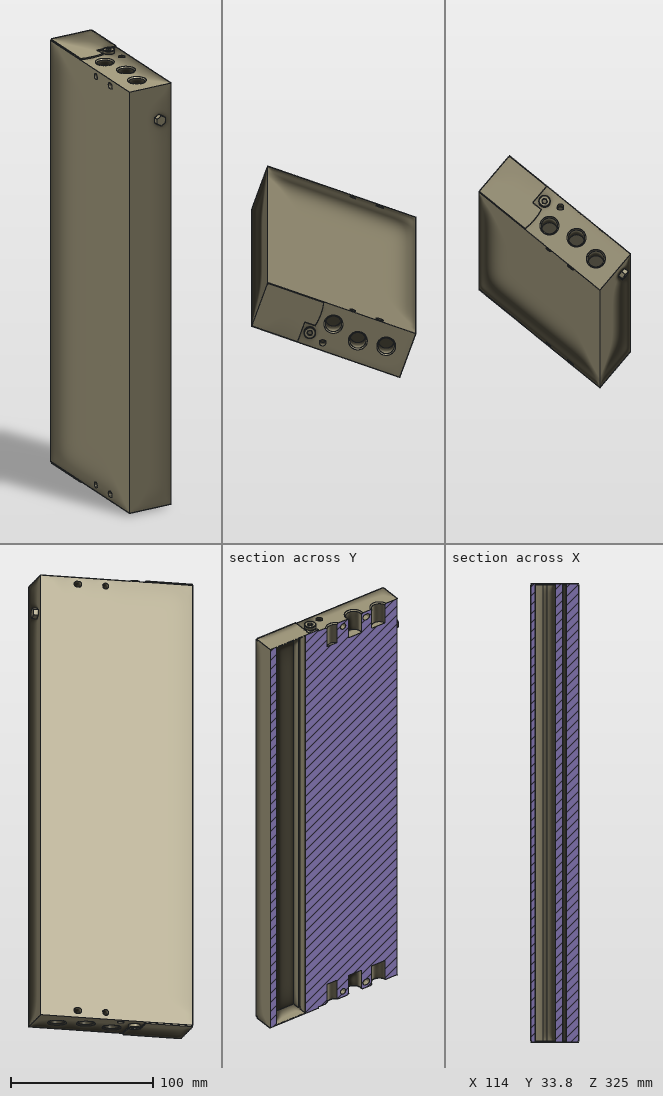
import cadquery as cq

HOUSING_LENGTH = 110.5
HOUSING_DEPTH = 33.8
HOUSING_HEIGHT = 320.0
TOP = HOUSING_HEIGHT / 2

COVER_THICKNESS = 1.0
COVER_MARGIN = 0.3
COVER_CORNER_RADIUS = 1.3
COVER_BACK_LENGTH = 34.0
COVER_FRONT_LENGTH = 42.0
COVER_STEP_Y = 1.3
COVER_BULGE = 1.0

CHANNEL_LEFT = 6.0
CHANNEL_BACK_RIGHT = 30.2
CHANNEL_FRONT_RIGHT = 40.0
CHANNEL_HALF_DEPTH = 13.5
CHANNEL_STEP_Y = -0.5
CHANNEL_CORNER_RADIUS = 2.0

GROOVE_DIAMETER = 2.5
GROOVE_Y = 6.8
GROOVE_OFFSET = 0.5
GROOVE_CENTRES = [
    (CHANNEL_LEFT, GROOVE_Y),
    (CHANNEL_LEFT, -GROOVE_Y),
    (CHANNEL_FRONT_RIGHT, -GROOVE_Y),
    (CHANNEL_BACK_RIGHT + GROOVE_OFFSET, GROOVE_Y),
]

PORT_CENTRES = [(53.5, -4.0), (73.8, 1.5), (94.0, -1.3)]
PORT_DIAMETER = 11.5
PORT_CHAMFER = 1.0
PORT_DEPTH = 16.2
SMALL_PORT_CENTRE = (51.0, 11.5)
SMALL_PORT_DIAMETER = 4.5
SMALL_PORT_DEPTH = 9.8

MOUNT_INSET = 5.0
MOUNT_DIAMETER = 4.2
ROUND_MOUNT_X = 63.5
SLOT_MOUNT_X = 83.5
SLOT_LENGTH = 5.5

SCREW_CENTRE = (40.0, 7.0)
SCREW_HEAD_DIAMETER = 8.0
SCREW_CHAMFER = 0.3
SCREW_TIP_Z = 162.5
SOCKET_CORNERS = 4.0
SOCKET_DEPTH = 2.0

NUT_CORNERS = 7.8
NUT_LENGTH = 3.5
NUT_Y = 6.8
NUT_Z = 134.5


def at_both_ends(body):
    """The body and its mirror image about the mid-height plane."""
    return [body, body.mirror("XY")]


def end_plane():
    """A fresh workplane on the top end of the housing."""
    return cq.Workplane("XY", origin=(0, 0, TOP))


def make_cover():
    back = HOUSING_DEPTH / 2 - COVER_MARGIN
    bulge_point = (COVER_FRONT_LENGTH + COVER_BULGE, (COVER_STEP_Y - back) / 2)
    return (
        end_plane()
        .moveTo(0, -back)
        .lineTo(0, back)
        .lineTo(COVER_BACK_LENGTH, back)
        .lineTo(COVER_BACK_LENGTH, COVER_STEP_Y)
        .lineTo(COVER_FRONT_LENGTH, COVER_STEP_Y)
        .threePointArc(bulge_point, (COVER_FRONT_LENGTH, -back))
        .close()
        .extrude(COVER_THICKNESS)
        .edges("|Z and <X")
        .fillet(COVER_CORNER_RADIUS)
    )


def make_channel():
    inner_corner = cq.selectors.NearestToPointSelector((CHANNEL_BACK_RIGHT, CHANNEL_STEP_Y, 0))
    outline = [
        (CHANNEL_LEFT, -CHANNEL_HALF_DEPTH),
        (CHANNEL_LEFT, CHANNEL_HALF_DEPTH),
        (CHANNEL_BACK_RIGHT, CHANNEL_HALF_DEPTH),
        (CHANNEL_BACK_RIGHT, CHANNEL_STEP_Y),
        (CHANNEL_FRONT_RIGHT, CHANNEL_STEP_Y),
        (CHANNEL_FRONT_RIGHT, -CHANNEL_HALF_DEPTH),
    ]
    return (
        end_plane()
        .polyline(outline)
        .close()
        .extrude(-HOUSING_HEIGHT)
        .edges("|Z and <Y")
        .fillet(CHANNEL_CORNER_RADIUS)
        .edges("|Z")
        .edges(inner_corner)
        .fillet(CHANNEL_CORNER_RADIUS)
    )


def make_grooves():
    return end_plane().pushPoints(GROOVE_CENTRES).circle(GROOVE_DIAMETER / 2).extrude(-HOUSING_HEIGHT)


def make_ports():
    radius = PORT_DIAMETER / 2
    ports = end_plane().pushPoints(PORT_CENTRES).circle(radius).extrude(-PORT_DEPTH)
    mouth = cq.Solid.makeCone(radius, radius + PORT_CHAMFER, PORT_CHAMFER)
    for x, y in PORT_CENTRES:
        ports = ports.union(cq.Workplane(mouth.translate(cq.Vector(x, y, TOP - PORT_CHAMFER))))
    small_port = end_plane().center(*SMALL_PORT_CENTRE).circle(SMALL_PORT_DIAMETER / 2)
    return ports.union(small_port.extrude(-SMALL_PORT_DEPTH))


def make_mounting_holes():
    height = TOP - MOUNT_INSET
    round_hole = cq.Workplane("XZ", origin=(ROUND_MOUNT_X, 0, height)).circle(MOUNT_DIAMETER / 2)
    slot = cq.Workplane("XZ", origin=(SLOT_MOUNT_X, 0, height)).slot2D(SLOT_LENGTH, MOUNT_DIAMETER)
    return round_hole.extrude(HOUSING_DEPTH, both=True).union(slot.extrude(HOUSING_DEPTH, both=True))


def make_housing():
    body = (
        cq.Workplane("XY")
        .box(HOUSING_LENGTH, HOUSING_DEPTH, HOUSING_HEIGHT, centered=(False, True, True))
        .cut(make_channel())
        .cut(make_grooves())
    )
    for cover in at_both_ends(make_cover()):
        body = body.union(cover)
    for feature in (make_ports(), make_mounting_holes()):
        for cutter in at_both_ends(feature):
            body = body.cut(cutter)
    return body


def make_screw():
    return (
        end_plane()
        .center(*SCREW_CENTRE)
        .circle(SCREW_HEAD_DIAMETER / 2)
        .extrude(SCREW_TIP_Z - TOP)
        .faces(">Z")
        .chamfer(SCREW_CHAMFER)
        .faces(">Z")
        .workplane()
        .transformed(rotate=(0, 0, 90))
        .polygon(6, SOCKET_CORNERS)
        .cutBlind(-SOCKET_DEPTH)
    )


def make_nut():
    return (
        cq.Workplane("YZ", origin=(HOUSING_LENGTH, NUT_Y, NUT_Z))
        .transformed(rotate=(0, 0, 90))
        .polygon(6, NUT_CORNERS)
        .extrude(NUT_LENGTH)
    )


housing = make_housing()
screws = at_both_ends(make_screw())
nut = make_nut()

result = cq.Compound.makeCompound([housing.val(), *(screw.val() for screw in screws), nut.val()])